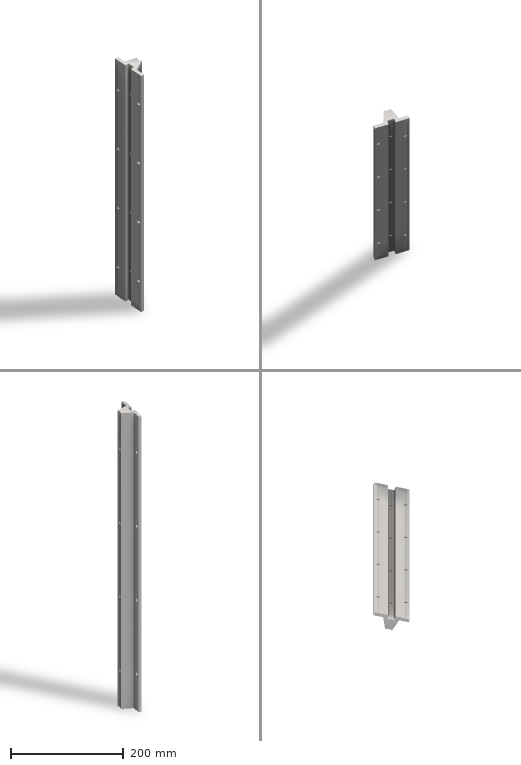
import cadquery as cq

length = 599.5
width = 65.0
depth = 28.0

flange_thickness = 6.0
slot_width = 13.0
slot_depth = 7.0
rib_base_width = 29.5
rib_tip_width = 12.5
cradle_sag = 2.0

groove_width = 0.9
groove_depth = groove_width / 2

hole_diameter = 6.5
hole_row_count = 4
hole_pitch = length / hole_row_count
side_column_offset = 25.0
hole_columns = (-side_column_offset, 0, side_column_offset)


def make_body():
    """Flange and tapered rib with a concave cradle, extruded along Z."""
    return (
        cq.Workplane("XY")
        .moveTo(-width / 2, 0)
        .lineTo(width / 2, 0)
        .lineTo(width / 2, flange_thickness)
        .lineTo(rib_base_width / 2, flange_thickness)
        .lineTo(rib_tip_width / 2, depth)
        .threePointArc((0, depth - cradle_sag), (-rib_tip_width / 2, depth))
        .lineTo(-rib_base_width / 2, flange_thickness)
        .lineTo(-width / 2, flange_thickness)
        .close()
        .extrude(length)
    )


def make_slot():
    """Rectangular channel along the middle of the front face."""
    return cq.Workplane("XY").rect(slot_width, 2 * slot_depth).extrude(length)


def make_guide_groove(x, surface_y):
    """V groove centred at x, cut into the surface that lies at surface_y."""
    return (
        cq.Workplane("XY")
        .moveTo(x - groove_width / 2, surface_y)
        .lineTo(x + groove_width / 2, surface_y)
        .lineTo(x, surface_y + groove_depth)
        .close()
        .extrude(length)
    )


def make_holes():
    """Rows of through holes along Y, half a pitch in from each end."""
    row_heights = [hole_pitch * (row + 0.5) for row in range(hole_row_count)]
    centres = [(x, z) for x in hole_columns for z in row_heights]
    return (
        cq.Workplane("XZ")
        .pushPoints(centres)
        .circle(hole_diameter / 2)
        .extrude(-depth)
    )


result = make_body().cut(make_slot())

for column_x in hole_columns:
    surface = slot_depth if column_x == 0 else 0
    result = result.cut(make_guide_groove(column_x, surface))

result = result.cut(make_holes())